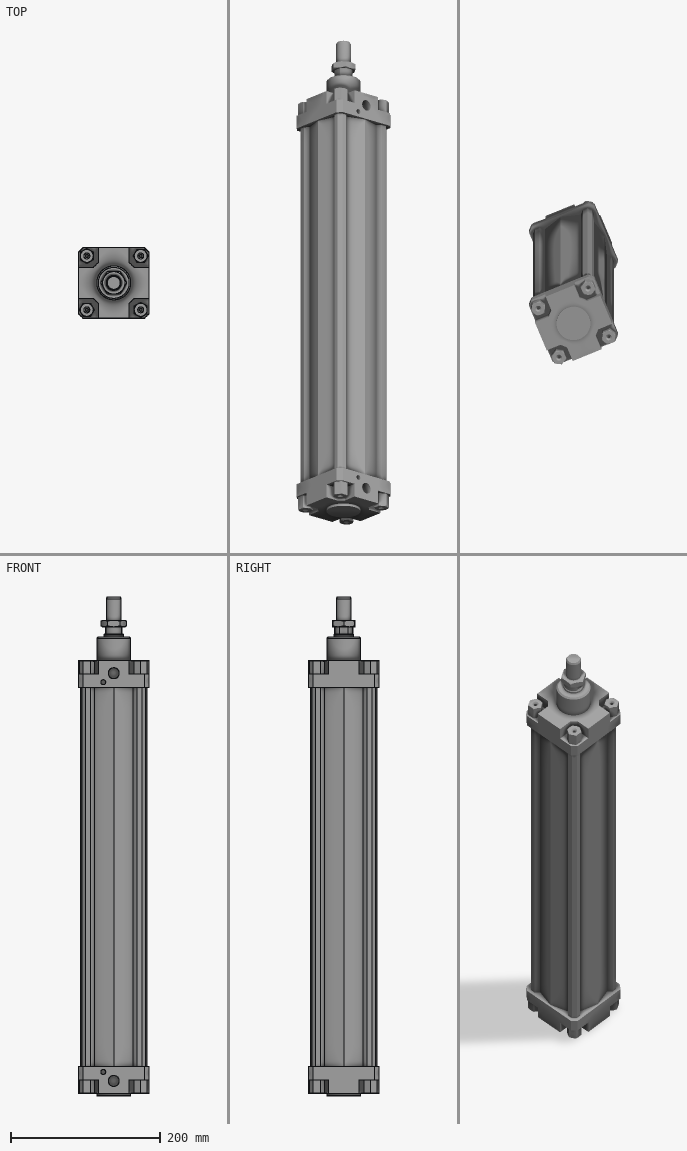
import cadquery as cq
import math

total_height = 668.0
foot_disc_height = 3.5
cap_height = 36.0
lower_cap_top = foot_disc_height + cap_height
upper_cap_bottom = 546.5
upper_cap_top = upper_cap_bottom + cap_height
hub_top = 614.5
collar_top = 618.5
nut_bottom = 628.0
nut_height = 9.0

cap_side = 95.0
cap_corner_chamfer = 6.35
pocket_inner_edge = 21.0
pocket_chamfer = 7.0
pocket_depth = 18.0

screw_offset = 36.0
screw_across_flats = 17.5
screw_hole_diameter = 4.0
screw_countersink_diameter = 8.0
screw_countersink_angle = 90.0

port_diameter = 15.0
port_depth = 17.0
port_height = 19.5
cushion_hole_diameter = 7.0
cushion_hole_depth = 7.0
cushion_hole_x = -14.0
cushion_hole_height = 7.5

barrel_ridge = 45.0
barrel_land = 43.0
barrel_land_outer = 38.0
barrel_land_inner = 31.5
barrel_groove_depth = 5.5

hub_diameter = 45.5
hub_chamfer = 2.0
collar_diameter = 27.0
collar_chamfer = 1.5

rod_diameter = 25.0
rod_flat_width = 22.0
thread_diameter = 20.0
tip_chamfer_height = 3.0
tip_chamfer_width = 1.5
nut_across_flats = 30.0
hexagon_chamfer_angle = 30.0


def cylinder(diameter, bottom, top):
    return cq.Workplane("XY").workplane(offset=bottom).circle(diameter / 2).extrude(top - bottom)


def hexagon(across_flats, bottom, top, chamfered_ends):
    """Hexagonal prism with two corners on X; conical chamfers round its corners at the given ends."""
    corner_radius = across_flats / math.sqrt(3)
    corner_excess = corner_radius - across_flats / 2
    chamfer_drop = corner_excess * math.tan(math.radians(hexagon_chamfer_angle))
    envelope = cylinder(2 * corner_radius, bottom, top)
    for end in chamfered_ends:
        envelope = envelope.faces(end).chamfer(chamfer_drop, corner_excess)
    return (
        cq.Workplane("XY").workplane(offset=bottom)
        .polygon(6, 2 * corner_radius).extrude(top - bottom)
        .intersect(envelope)
    )


def barrel():
    """Grooved square profile whose four sides rise to a shallow ridge in the middle."""
    groove_floor = barrel_land - barrel_groove_depth
    groove_edge = barrel_land_inner - barrel_groove_depth
    side = [
        (-barrel_land_outer, -barrel_land),
        (-barrel_land_inner, -barrel_land),
        (-groove_edge, -groove_floor),
        (0, -barrel_ridge),
        (groove_edge, -groove_floor),
        (barrel_land_inner, -barrel_land),
        (barrel_land_outer, -barrel_land),
    ]
    outline = []
    for _ in range(4):
        outline.extend(side)
        side = [(-y, x) for x, y in side]
    return (
        cq.Workplane("XY").workplane(offset=lower_cap_top)
        .polyline(outline).close().extrude(upper_cap_bottom - lower_cap_top)
    )


def corner_pocket():
    """Cutter for the pocket in the (-X, -Y) corner of the upper cap."""
    size = cap_side / 2 - pocket_inner_edge
    center = -pocket_inner_edge - size / 2
    return (
        cq.Workplane("XY").workplane(offset=upper_cap_top - pocket_depth)
        .center(center, center).rect(size, size).extrude(pocket_depth)
        .edges("|Z and >X and >Y").chamfer(pocket_chamfer)
    )


def screw_head():
    """Hexagonal screw head in the (-X, -Y) corner of the upper cap."""
    floor = upper_cap_top - pocket_depth
    return (
        hexagon(screw_across_flats, floor, upper_cap_top, [">Z"])
        .faces(">Z").workplane(origin=(0, 0, upper_cap_top))
        .cskHole(screw_hole_diameter, screw_countersink_diameter, screw_countersink_angle, pocket_depth)
        .translate((-screw_offset, -screw_offset, 0))
    )


def side_hole(diameter, depth, x, z):
    """Cutter for a blind hole in the -Y side of a cap."""
    return (
        cq.Workplane("XZ", origin=(x, -cap_side / 2, z))
        .circle(diameter / 2).extrude(-depth)
    )


def upper_cap():
    cap = (
        cq.Workplane("XY").workplane(offset=upper_cap_bottom)
        .rect(cap_side, cap_side).extrude(cap_height)
        .edges("|Z").chamfer(cap_corner_chamfer)
    )
    for quarter in range(4):
        angle = 90 * quarter
        cap = cap.cut(corner_pocket().rotate((0, 0, 0), (0, 0, 1), angle))
        cap = cap.union(screw_head().rotate((0, 0, 0), (0, 0, 1), angle))
    cap = cap.cut(side_hole(port_diameter, port_depth, 0, upper_cap_bottom + port_height))
    cushion_hole_z = upper_cap_bottom + cushion_hole_height
    return cap.cut(side_hole(cushion_hole_diameter, cushion_hole_depth, cushion_hole_x, cushion_hole_z))


def lower_cap():
    """Mirror image of the upper cap at the foot of the barrel."""
    mirror_shift = upper_cap_bottom + lower_cap_top
    return upper_cap().mirror("XY").translate((0, 0, mirror_shift))


def hub():
    """Round rod bearing on the upper cap, with a wiper collar on top."""
    bearing = cylinder(hub_diameter, upper_cap_top, hub_top).faces(">Z").chamfer(hub_chamfer)
    collar = cylinder(collar_diameter, hub_top, collar_top).faces(">Z").chamfer(collar_chamfer)
    return bearing.union(collar)


def make_housing():
    foot_disc = cylinder(hub_diameter, 0, foot_disc_height)
    rod_bore = cylinder(rod_diameter, upper_cap_top, collar_top)
    return (
        barrel().union(upper_cap()).union(lower_cap())
        .union(foot_disc).union(hub()).cut(rod_bore)
    )


def make_rod():
    """Piston rod with two wrench flats on X and a thinner threaded end."""
    shaft = cylinder(rod_diameter, upper_cap_top, collar_top)
    wrench_section = cylinder(rod_diameter, collar_top, nut_bottom).intersect(
        cq.Workplane("XY").box(rod_flat_width, rod_diameter, 2 * total_height)
    )
    thread = cylinder(thread_diameter, nut_bottom, total_height).faces(">Z").chamfer(
        tip_chamfer_height, tip_chamfer_width
    )
    return shaft.union(wrench_section).union(thread)


def make_nut():
    """Hexagon lock nut with conically chamfered corners, corners on X."""
    nut_top = nut_bottom + nut_height
    return (
        hexagon(nut_across_flats, nut_bottom, nut_top, [">Z", "<Z"])
        .cut(cylinder(thread_diameter, nut_bottom, nut_top))
    )


housing = make_housing()
rod = make_rod()
nut = make_nut()

result = cq.Compound.makeCompound([housing.val(), rod.val(), nut.val()])